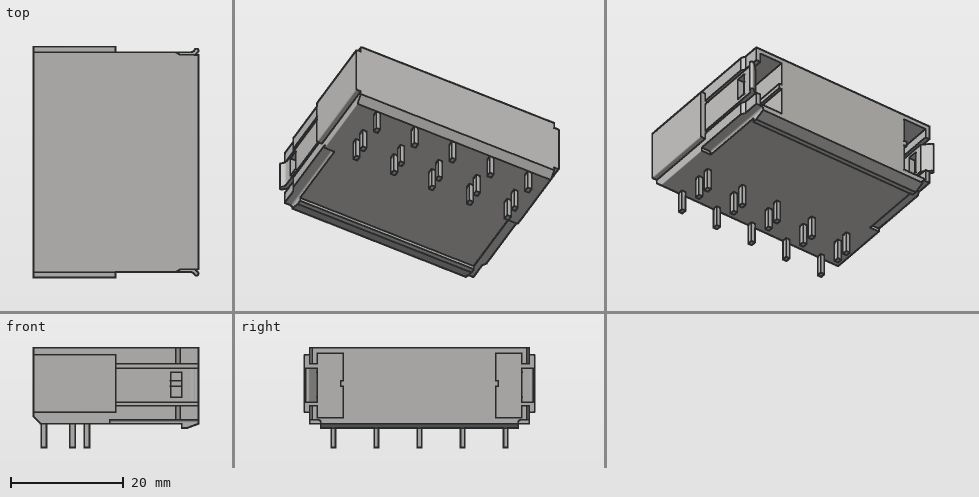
import cadquery as cq
import math

LENGTH = 29.25
HEIGHT = 13.5
HALF_WIDTH = 19.47
OVERALL_HALF_WIDTH = 20.45
EDGE_RADIUS = 0.16
END_BEVEL = 1.3

PAD_LENGTH = 14.55
PAD_BOTTOM = 2.02
PAD_TOP = HEIGHT - 1.24
PAD_RADIUS = 0.28

RELIEF_DEPTH = 0.46
RELIEF_START = 25.2
RELIEF_RAMP = RELIEF_DEPTH * math.sqrt(3)

FOOT_START = 26.25
FOOT_FLAT = 0.9
FOOT_DROP = 0.78
FOOT_WIDTH = 35.0

STEP_START = 13.5
STEP_HEIGHT = 0.7
STEP_DEPTH = HALF_WIDTH - FOOT_WIDTH / 2
STEP_COVE = 0.45

WALL = 1.35
ROOF = 1.0
FLOOR = 1.1
CAVITY_DEPTH = 6.0
RIB_HEIGHT = 0.5
RIB_BOTTOM = 6.65
RIB_TOP = 7.65

OPENING_BOTTOM = 3.22
OPENING_TOP = HEIGHT - 2.88
ARM_BOTTOM = 3.8
ARM_TOP = HEIGHT - 3.62
WINDOW_START = 24.3
WINDOW_LENGTH = 1.95
WINDOW_BOTTOM = 4.68
WINDOW_TOP = HEIGHT - 4.35

HOOK_START = 27.75
NOSE_RADIUS = 0.37
NOSE_OFFSET = 0.27

PIN_LENGTH = 4.24
PIN_SIZE_X = 1.0
PIN_SIZE_Y = 0.8
PIN_FIRST_X = 1.85
PIN_PITCH = 2.54
PIN_COLUMNS = (0, 2, 3)
PIN_ROWS = 5
PIN_ROW_PITCH = 3 * PIN_PITCH


def span_box(x_span, y_span, z_span):
    """Box between the given (low, high) limits."""
    size = [high - low for low, high in (x_span, y_span, z_span)]
    corner = (x_span[0], y_span[0], z_span[0])
    return cq.Workplane("XY").box(*size, centered=False).translate(corner)


def make_body():
    """Block with rounded long edges, side pads and a bevelled lower end edge."""
    block = (
        cq.Workplane("YZ")
        .rect(2 * HALF_WIDTH, HEIGHT)
        .extrude(LENGTH)
        .edges("|X")
        .fillet(EDGE_RADIUS)
        .translate((0, 0, HEIGHT / 2))
    )
    pads = (
        cq.Workplane("YZ")
        .rect(2 * OVERALL_HALF_WIDTH, PAD_TOP - PAD_BOTTOM)
        .extrude(PAD_LENGTH)
        .edges("|X")
        .fillet(PAD_RADIUS)
        .translate((0, 0, (PAD_TOP + PAD_BOTTOM) / 2))
    )
    end_bevel = (
        cq.Workplane("XZ")
        .polyline([(0, 0), (END_BEVEL, 0), (0, END_BEVEL)])
        .close()
        .extrude(HALF_WIDTH, both=True)
    )
    return block.union(pads).cut(end_bevel)


def make_relief():
    """Tool that sets the -Y wall back near the open end, behind a short ramp."""
    wall_y = -HALF_WIDTH
    relief_y = wall_y + RELIEF_DEPTH
    return (
        cq.Workplane("XY")
        .moveTo(RELIEF_START, wall_y)
        .lineTo(RELIEF_START + RELIEF_RAMP, relief_y)
        .lineTo(LENGTH, relief_y)
        .lineTo(LENGTH, wall_y)
        .close()
        .extrude(HEIGHT)
    )


def make_step():
    """Tool for the coved step along the lower edge of the -Y wall."""
    wall_y = -HALF_WIDTH
    step_y = wall_y + STEP_DEPTH
    cove_center = (step_y - STEP_COVE, STEP_HEIGHT - STEP_COVE)
    cove_reach = STEP_COVE * math.sqrt(0.5)
    cove_middle = (cove_center[0] + cove_reach, cove_center[1] + cove_reach)
    return (
        cq.Workplane("YZ", origin=(STEP_START, 0, 0))
        .moveTo(wall_y, 0)
        .lineTo(step_y, 0)
        .lineTo(step_y, cove_center[1])
        .threePointArc(cove_middle, (cove_center[0], STEP_HEIGHT))
        .lineTo(wall_y, STEP_HEIGHT)
        .close()
        .extrude(LENGTH - STEP_START)
    )


def make_cavity():
    """Tool for the -Y side cavity and its wall opening, leaving a rib on the inner wall."""
    inner_y = -HALF_WIDTH + CAVITY_DEPTH
    x_span = (PAD_LENGTH, LENGTH)
    room = span_box(x_span, (-HALF_WIDTH + WALL, inner_y), (FLOOR, HEIGHT - ROOF))
    opening = span_box(x_span, (-HALF_WIDTH, inner_y), (OPENING_BOTTOM, OPENING_TOP))
    rib = span_box(x_span, (inner_y - RIB_HEIGHT, inner_y), (RIB_BOTTOM, RIB_TOP))
    return room.union(opening).cut(rib)


def make_arm():
    """Spring arm on the -Y side: a flat strip with a window and a rounded thumb hook."""
    root_x = PAD_LENGTH - WALL
    outer_y = -HALF_WIDTH
    inner_y = outer_y + WALL
    nose_x = LENGTH - NOSE_RADIUS
    nose_y = outer_y - NOSE_OFFSET
    diagonal = NOSE_RADIUS * math.sqrt(0.5)
    hook_inside = (nose_x + diagonal, nose_y + diagonal)
    hook_root_x = hook_inside[0] - (inner_y - hook_inside[1])

    reach = nose_x - HOOK_START
    blend_radius = (reach**2 + NOSE_OFFSET**2 - NOSE_RADIUS**2) / (2 * (NOSE_OFFSET + NOSE_RADIUS))
    blend_angle = math.asin(reach / (blend_radius + NOSE_RADIUS))

    def blend_point(angle):
        x = HOOK_START + blend_radius * math.sin(angle)
        y = outer_y - blend_radius * (1 - math.cos(angle))
        return (x, y)

    arm = (
        cq.Workplane("XY", origin=(0, 0, ARM_BOTTOM))
        .moveTo(root_x, inner_y)
        .lineTo(root_x, outer_y)
        .lineTo(HOOK_START, outer_y)
        .threePointArc(blend_point(blend_angle / 2), blend_point(blend_angle))
        .threePointArc((nose_x + diagonal, nose_y - diagonal), hook_inside)
        .lineTo(hook_root_x, inner_y)
        .close()
        .extrude(ARM_TOP - ARM_BOTTOM)
    )
    window_x = (WINDOW_START, WINDOW_START + WINDOW_LENGTH)
    window = span_box(window_x, (outer_y, inner_y), (WINDOW_BOTTOM, WINDOW_TOP))
    return arm.cut(window)


def make_foot():
    """Foot across the underside with a sloped lead-in at the open end."""
    return (
        cq.Workplane("XZ")
        .moveTo(FOOT_START, FLOOR)
        .lineTo(FOOT_START, -FOOT_DROP)
        .lineTo(FOOT_START + FOOT_FLAT, -FOOT_DROP)
        .lineTo(LENGTH, 0)
        .lineTo(LENGTH, FLOOR)
        .close()
        .extrude(FOOT_WIDTH / 2, both=True)
    )


def make_pins():
    """Grid of rectangular terminal pins reaching down from the floor."""
    middle_row = (PIN_ROWS - 1) / 2
    centers = [
        (PIN_FIRST_X + column * PIN_PITCH, (row - middle_row) * PIN_ROW_PITCH)
        for column in PIN_COLUMNS
        for row in range(PIN_ROWS)
    ]
    return (
        cq.Workplane("XY", origin=(0, 0, -PIN_LENGTH))
        .pushPoints(centers)
        .rect(PIN_SIZE_X, PIN_SIZE_Y)
        .extrude(PIN_LENGTH + FLOOR)
    )


def on_both_sides(side_shape):
    """The -Y side shape together with its mirror image at +Y."""
    return side_shape.union(side_shape.mirror("XZ"))


body = make_body()
for make_tool in (make_relief, make_step, make_cavity):
    body = body.cut(on_both_sides(make_tool()))

result = body.union(on_both_sides(make_arm())).union(make_foot()).union(make_pins())